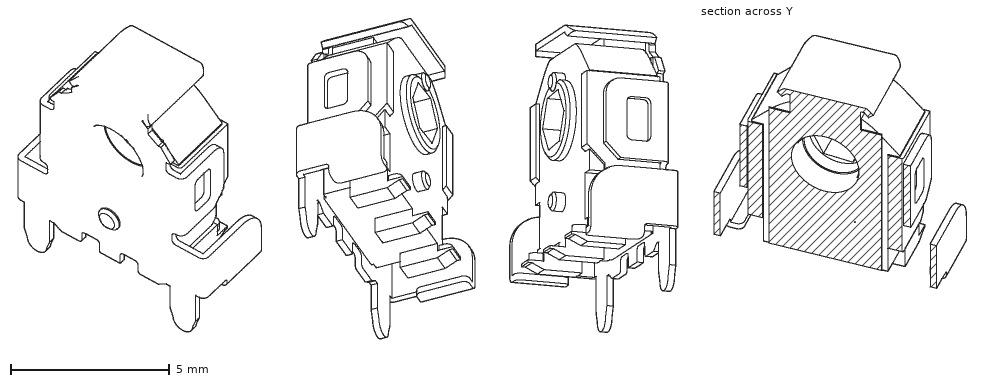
import cadquery as cq
import math


sheet = 0.22
bend_radius = 0.22
bracket_depth = 2.99
top_z = 2.76
bottom_z = -6.0
plate_bottom_z = -4.5

plate_half_width = 2.63
neck_half_width = 1.51
neck_top_half_width = 1.27
neck_bottom_z = 2.09
shoulder_z = 1.80
shoulder_inner_x = 1.92
shoulder_outer_x = 2.02
upper_corner_x = 2.40
upper_corner_z = 1.27
upper_relief_top_z = 1.22
relief_depth = 0.17
relief_corner = 0.15
upper_relief_x = 2.22

tab_flat_half_width = 1.40
tab_lip_drop = 0.22
tab_bend_radius = 0.15
tab_corner = 0.32

ear_outer_x = 2.88
ear_depth = 2.16
ear_top_z = 0.80
ear_bottom_z = -1.79
ear_bend_radius = 0.24
ear_round = 0.50
ear_chamfer = 0.49
ear_slot_width = 0.80
ear_slot_height = 1.41
ear_slot_center = (1.06, -0.48)
ear_slot_corner = 0.17

wing_outer_x = 3.75
wing_top_z = -2.28
wing_bottom_z = -4.09
wing_round = 1.0
wing_step_round = 0.1
lip_bottom_z = -4.48
lip_front_y = 1.18
lip_inner_x = 3.13
lip_corner = 0.2

leg_outer_x = 3.39
leg_inner_x = 2.38
leg_taper_z = -5.27
leg_tip_radius = 0.385
leg_crotch_z = -4.30
slant_inner_x = 1.92
slant_outer_x = 2.22
notch_inner_x = 0.41
notch_outer_x = 1.11
notch_top_z = -4.0
notch_corner = 0.12

button_z = -2.70
button_radius = 0.41
button_tip_radius = 0.30
button_height = 0.155
button_straight = 0.05

housing_half_width = 2.50
housing_base_half_width = 2.1
housing_step_z = -2.18
housing_front_y = 0.30
housing_back_y = 2.58
housing_bottom_z = -3.9
housing_top_z = 2.23
dome_radius = 2.53
chamfer_bottom_z = 1.07
crown_half_width = 1.2
crown_back_y = 1.62
spacer_half_width = 1.9

cheek_back_y = 2.71
cheek_low_back_y = 2.10
cheek_top_z = 1.015
cheek_slope_top_z = -1.37
cheek_slope_bottom_z = -1.96
cheek_end_chamfer = 0.22
cheek_end_z = -2.90
cheek_front_round = 0.12

post_radius = 0.30
post_back_y = 2.985
post_z_levels = (1.23, -2.66)
post_chamfer = 0.09

foot_back_y = 3.115
foot_front_y = 1.3
foot_top_z = -4.18
foot_tip_z = -4.27
foot_bottom_z = -4.46
side_foot_x = 2.0
side_foot_width = 0.62
peg_width = 0.39
peg_back_y = 2.97
middle_foot_width = 0.60

flare_radius = 1.56
bore_radius = 1.08
bore_step_y = 1.13
bore_step_radius = 1.03
bore_depth = 1.6
hex_circumradius = 0.985
hex_turn = -4.0
rotor_radius = 1.28
rotor_back_y = 2.89
rotor_chamfer = 0.1


def prism_y(points, front, back):
    """Closed X-Z outline extruded from Y = front to Y = back."""
    outline = cq.Workplane("XZ", origin=(0, front, 0)).polyline(points).close()
    return outline.extrude(front - back)


def prism_x(points, inner, outer):
    """Closed Y-Z outline extruded from X = inner to X = outer."""
    return cq.Workplane("YZ", origin=(inner, 0, 0)).polyline(points).close().extrude(outer - inner)


def block(x_range, y_range, z_range):
    size = [end - start for start, end in (x_range, y_range, z_range)]
    return cq.Workplane().box(*size, centered=False).translate((x_range[0], y_range[0], z_range[0]))


def cylinder_y(radius, front, back, z=0):
    return cq.Workplane("XZ", origin=(0, front, z)).circle(radius).extrude(front - back)


def fillet_near(solid, direction, points, radius):
    """Round the edges parallel to an axis that lie nearest the given points."""
    for point in points:
        edge = solid.edges("|" + direction).edges(cq.NearestToPointSelector(point))
        solid = edge.fillet(radius)
    return solid


def mirrored(solid):
    return solid.union(solid.mirror("YZ"))


def make_plate():
    mid_y = sheet / 2
    lip_z = top_z - bend_radius
    points = [
        (0, lip_z),
        (neck_top_half_width, lip_z),
        (neck_half_width, lip_z - bend_radius),
        (neck_half_width, neck_bottom_z),
        (shoulder_inner_x, shoulder_z),
        (shoulder_outer_x, shoulder_z),
        (upper_corner_x, upper_corner_z),
        (upper_relief_x, upper_relief_top_z),
        (upper_relief_x, ear_top_z),
        (plate_half_width, ear_top_z),
        (plate_half_width, ear_bottom_z),
        (plate_half_width - relief_depth, ear_bottom_z),
        (plate_half_width - relief_depth, wing_top_z),
        (wing_outer_x - bend_radius, wing_top_z),
        (wing_outer_x - bend_radius, wing_bottom_z),
        (leg_outer_x, wing_bottom_z),
        (leg_outer_x, leg_crotch_z),
        (slant_outer_x, leg_crotch_z),
        (slant_inner_x, plate_bottom_z),
        (notch_outer_x, plate_bottom_z),
        (notch_outer_x, notch_top_z),
        (notch_inner_x, notch_top_z),
        (notch_inner_x, plate_bottom_z),
        (0, plate_bottom_z),
    ]
    plate = prism_y(points, 0, sheet)
    notch_corners = [
        (notch_outer_x, mid_y, plate_bottom_z),
        (notch_outer_x, mid_y, notch_top_z),
        (notch_inner_x, mid_y, notch_top_z),
    ]
    plate = fillet_near(plate, "Y", notch_corners, notch_corner)
    relief_corners = [
        (upper_relief_x, mid_y, ear_top_z),
        (plate_half_width - relief_depth, mid_y, ear_bottom_z),
        (plate_half_width - relief_depth, mid_y, wing_top_z),
    ]
    plate = fillet_near(plate, "Y", relief_corners, relief_corner)
    return mirrored(plate.union(make_leg()))


def make_leg():
    center_x = (leg_outer_x + leg_inner_x) / 2
    tip_start_z = bottom_z + leg_tip_radius
    outline = (
        cq.Workplane("XZ")
        .moveTo(leg_outer_x, leg_crotch_z + sheet)
        .lineTo(leg_outer_x, leg_taper_z)
        .lineTo(center_x + leg_tip_radius, tip_start_z)
        .threePointArc((center_x, bottom_z), (center_x - leg_tip_radius, tip_start_z))
        .lineTo(leg_inner_x, leg_taper_z)
        .lineTo(leg_inner_x, leg_crotch_z + sheet)
        .close()
    )
    return outline.extrude(-sheet)


def make_top_tab():
    diagonal = sheet * math.sqrt(0.5)
    lip_x = tab_flat_half_width + tab_lip_drop
    lip_z = top_z - tab_lip_drop
    inside_z = top_z - sheet
    half_profile = [
        (tab_flat_half_width, top_z),
        (lip_x, lip_z),
        (lip_x - diagonal, lip_z - diagonal),
        (lip_x - 2 * diagonal + (inside_z - lip_z), inside_z),
    ]
    other_half = [(-x, z) for x, z in reversed(half_profile)]
    tab = prism_y(half_profile + other_half, 0, bracket_depth)
    bend_edges = [(side * tab_flat_half_width, bracket_depth / 2, top_z) for side in (-1, 1)]
    tab = fillet_near(tab, "Y", bend_edges, tab_bend_radius)
    envelope = block((-lip_x, lip_x), (0, bracket_depth), (lip_z - sheet, top_z))
    envelope = envelope.edges("|X and >Z and <Y").fillet(bend_radius)
    envelope = envelope.edges("|Z and >Y").fillet(tab_corner)
    return tab.intersect(envelope)


def make_ear():
    points = [
        (0, ear_top_z),
        (ear_depth, ear_top_z),
        (ear_depth, ear_bottom_z + ear_chamfer),
        (ear_depth - ear_chamfer, ear_bottom_z),
        (0, ear_bottom_z),
    ]
    ear = prism_x(points, plate_half_width, ear_outer_x)
    ear = fillet_near(ear, "X", [(ear_outer_x, ear_depth, ear_top_z)], ear_round)
    ear = ear.edges("|Z and <Y and >X").fillet(ear_bend_radius)
    slot_y, slot_z = ear_slot_center
    slot = cq.Workplane("YZ", origin=(plate_half_width, slot_y, slot_z)).rect(ear_slot_width, ear_slot_height)
    slot = slot.extrude(ear_outer_x - plate_half_width).edges("|X").fillet(ear_slot_corner)
    return ear.cut(slot)


def make_wing():
    inner_x = wing_outer_x - sheet
    wall = block((inner_x, wing_outer_x), (0, bracket_depth), (wing_bottom_z, wing_top_z))
    wall = wall.edges("|X and >Y and >Z").fillet(wing_round)
    root = block((inner_x - sheet, wing_outer_x), (0, sheet), (wing_bottom_z, wing_top_z))
    wall = wall.union(root).edges("|Z and <Y and >X").fillet(bend_radius)
    lip_y = (lip_front_y, bracket_depth)
    drop = block((inner_x, wing_outer_x), lip_y, (lip_bottom_z, wing_bottom_z))
    lip = block((lip_inner_x, wing_outer_x), lip_y, (lip_bottom_z, lip_bottom_z + sheet))
    lip = lip.edges("|Z and <X").fillet(lip_corner)
    lip = lip.union(drop).edges("|Y and <Z and >X").fillet(bend_radius)
    wing = wall.union(lip)
    step_edge = (wing_outer_x - sheet / 2, lip_front_y, wing_bottom_z)
    return fillet_near(wing, "X", [step_edge], wing_step_round)


def make_button():
    button = cylinder_y(button_radius, -button_height, sheet, z=button_z)
    return button.faces("<Y").chamfer(button_height - button_straight, button_radius - button_tip_radius)


def make_housing():
    arc_x = dome_radius * math.sqrt(0.5)
    top_x = math.sqrt(dome_radius**2 - housing_top_z**2)
    mid_angle = (math.pi / 4 + math.asin(housing_top_z / dome_radius)) / 2
    arc_mid = (dome_radius * math.cos(mid_angle), dome_radius * math.sin(mid_angle))
    half = (
        cq.Workplane("XZ", origin=(0, housing_front_y, 0))
        .moveTo(0, housing_bottom_z)
        .lineTo(housing_base_half_width, housing_bottom_z)
        .lineTo(housing_base_half_width, housing_step_z)
        .lineTo(housing_half_width, housing_step_z)
        .lineTo(housing_half_width, chamfer_bottom_z)
        .lineTo(arc_x, arc_x)
        .threePointArc(arc_mid, (top_x, housing_top_z))
        .lineTo(0, housing_top_z)
        .close()
        .extrude(housing_front_y - housing_back_y)
    )
    crown = block((0, crown_half_width), (sheet, crown_back_y), (shoulder_z, top_z - sheet))
    spacer = block((0, spacer_half_width), (sheet, housing_front_y), (housing_bottom_z, shoulder_z))
    return mirrored(half.union(crown).union(spacer))


def make_cheek():
    points = [
        (sheet, cheek_top_z),
        (cheek_back_y, cheek_top_z),
        (cheek_back_y, cheek_slope_top_z),
        (cheek_low_back_y, cheek_slope_bottom_z),
        (cheek_low_back_y, cheek_end_z + cheek_end_chamfer),
        (cheek_low_back_y - cheek_end_chamfer, cheek_end_z),
        (sheet, cheek_end_z),
    ]
    cheek = prism_x(points, housing_base_half_width, plate_half_width)
    return cheek.edges("|Z and <Y and >X").fillet(cheek_front_round)


def make_post(z):
    post = cylinder_y(post_radius, housing_back_y, post_back_y, z=z)
    return post.faces(">Y").chamfer(post_chamfer)


def make_foot(x, width):
    points = [
        (foot_front_y, housing_bottom_z + sheet),
        (housing_back_y, housing_bottom_z + sheet),
        (housing_back_y, foot_top_z),
        (foot_back_y, foot_top_z),
        (foot_back_y, foot_tip_z),
        (bracket_depth, foot_tip_z),
        (housing_back_y, foot_bottom_z),
        (foot_front_y, foot_bottom_z),
    ]
    return prism_x(points, x - width / 2, x + width / 2)


def make_peg():
    """Upright peg with a round back, standing on a side foot."""
    half_width = peg_width / 2
    peg = block(
        (side_foot_x - half_width, side_foot_x + half_width),
        (foot_front_y, peg_back_y - half_width),
        (foot_bottom_z + sheet, housing_bottom_z),
    )
    round_back = cq.Workplane("XY", origin=(side_foot_x, peg_back_y - half_width, foot_top_z))
    return peg.union(round_back.circle(half_width).extrude(housing_bottom_z - foot_top_z))


def make_rotor():
    rotor = cylinder_y(rotor_radius, housing_back_y, rotor_back_y)
    return rotor.faces(">Y").chamfer(rotor_chamfer)


def make_opening():
    """Flared mouth and stepped bore, then a hexagon out through the back."""
    flare = flare_radius - bore_radius
    profile = (
        cq.Workplane("XY")
        .lineTo(flare_radius, 0)
        .radiusArc((bore_radius, flare), flare)
        .lineTo(bore_radius, bore_step_y)
        .lineTo(bore_step_radius, bore_step_y)
        .lineTo(bore_step_radius, bore_depth)
        .lineTo(0, bore_depth)
        .close()
    )
    mouth = profile.revolve(360, (0, 0, 0), (0, 1, 0))
    hexagon = cq.Workplane("XZ").polygon(6, 2 * hex_circumradius).extrude(-rotor_back_y)
    return mouth.union(hexagon.rotate((0, 0, 0), (0, 1, 0), -hex_turn))


bracket = make_plate().union(make_top_tab()).union(make_button())
bracket = bracket.union(mirrored(make_ear().union(make_wing())))
housing = make_housing().union(mirrored(make_cheek()))
housing = housing.union(make_foot(0, middle_foot_width))
housing = housing.union(mirrored(make_foot(side_foot_x, side_foot_width).union(make_peg())))
for post_z in post_z_levels:
    housing = housing.union(make_post(post_z))
result = bracket.union(housing).union(make_rotor()).cut(make_opening())